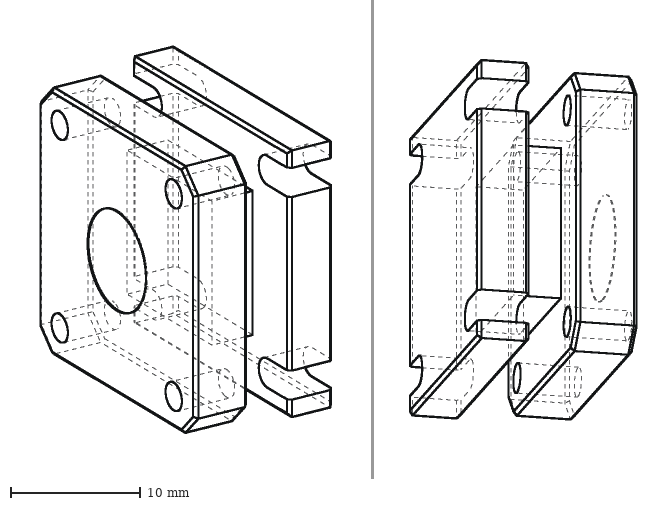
import cadquery as cq

side = 22.35
depth = 12.7
front_thickness = 4.85
rear_thickness = 4.1
neck_side = 12.07
edge_chamfer = 0.3
corner_chamfer = 1.83

hole_diameter = 2.32
slot_width = 2.44
hole_x = 8.11
hole_z = 8.5

recess_diameter = 8.31
recess_depth = 0.1

front_y = -depth / 2
front_plate_back_y = front_y + front_thickness
rear_y = depth / 2
rear_plate_front_y = rear_y - rear_thickness


def block(width, start_y, end_y):
    """Square block centred on the Y axis, spanning start_y to end_y."""
    length = end_y - start_y
    return cq.Workplane("XY").box(width, length, width).translate((0, start_y + length / 2, 0))


def cylinder(diameter, x, z, start_y, length):
    """Cylinder running from start_y towards +Y."""
    plane = cq.Workplane("XZ", origin=(x, start_y, z))
    return plane.circle(diameter / 2).extrude(-length)


def open_slot(x_sign, z_sign):
    """Round-ended slot through the rear plate, open at its X side."""
    x = x_sign * hole_x
    z = z_sign * hole_z
    run = side / 2 - hole_x
    round_end = cylinder(slot_width, x, z, rear_plate_front_y, rear_thickness)
    channel = cq.Workplane("XY").box(run, rear_thickness, slot_width).translate(
        (x + x_sign * run / 2, rear_y - rear_thickness / 2, z)
    )
    return round_end.union(channel)


front_plate = block(side, front_y, front_plate_back_y)
front_plate = front_plate.edges("|Y").chamfer(corner_chamfer)
front_plate = front_plate.faces("<Y or >Y").chamfer(edge_chamfer)
front_plate = front_plate.cut(cylinder(recess_diameter, 0, 0, front_y, recess_depth))

rear_plate = block(side, rear_plate_front_y, rear_y)
rear_plate = rear_plate.faces("<Y or >Y").chamfer(edge_chamfer)

for x_sign in (-1, 1):
    for z_sign in (-1, 1):
        hole = cylinder(hole_diameter, x_sign * hole_x, z_sign * hole_z, front_y, front_thickness)
        front_plate = front_plate.cut(hole)
        rear_plate = rear_plate.cut(open_slot(x_sign, z_sign))

neck = block(neck_side, front_plate_back_y, rear_plate_front_y)
result = front_plate.union(neck).union(rear_plate)